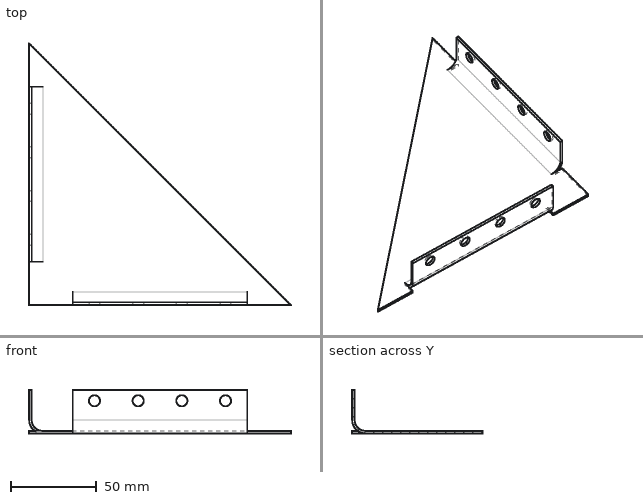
import cadquery as cq

leg = 152.5
height = leg / 6
thickness = leg / 96
inner_bend_radius = 4 * thickness
outer_bend_radius = inner_bend_radius + thickness

flange_length = leg * 2 / 3
flange_start = (leg - flange_length) / 2

hole_count = 4
hole_pitch = flange_length / hole_count
hole_diameter = leg / 24
hole_drop = hole_diameter


def swap_x_and_y(body):
    """Mirror a body across the vertical plane X = Y."""
    return body.mirror(cq.Vector(1, -1, 0), (0, 0, 0))


def make_plate():
    """Flat triangle, cut back to the start of the bend along each flange."""
    plate = (
        cq.Workplane("XY")
        .polyline([(0, 0), (leg, 0), (0, leg)])
        .close()
        .extrude(thickness)
    )
    front_notch = cq.Workplane("XY").box(
        flange_length, outer_bend_radius, thickness, centered=False
    ).translate((flange_start, 0, 0))
    return plate.cut(front_notch).cut(swap_x_and_y(front_notch))


def make_front_flange():
    """Bend and upright wall along the X leg, with its row of holes."""
    flange = (
        cq.Workplane("YZ", origin=(flange_start, 0, 0))
        .moveTo(outer_bend_radius, 0)
        .radiusArc((0, outer_bend_radius), outer_bend_radius)
        .lineTo(0, height)
        .lineTo(thickness, height)
        .lineTo(thickness, outer_bend_radius)
        .radiusArc((outer_bend_radius, thickness), -inner_bend_radius)
        .close()
        .extrude(flange_length)
    )
    hole_centers = [
        (flange_start + hole_pitch / 2 + i * hole_pitch, height - hole_drop)
        for i in range(hole_count)
    ]
    holes = (
        cq.Workplane("XZ")
        .pushPoints(hole_centers)
        .circle(hole_diameter / 2)
        .extrude(-thickness)
    )
    return flange.cut(holes)


front_flange = make_front_flange()
side_flange = swap_x_and_y(front_flange)
result = make_plate().union(front_flange).union(side_flange)